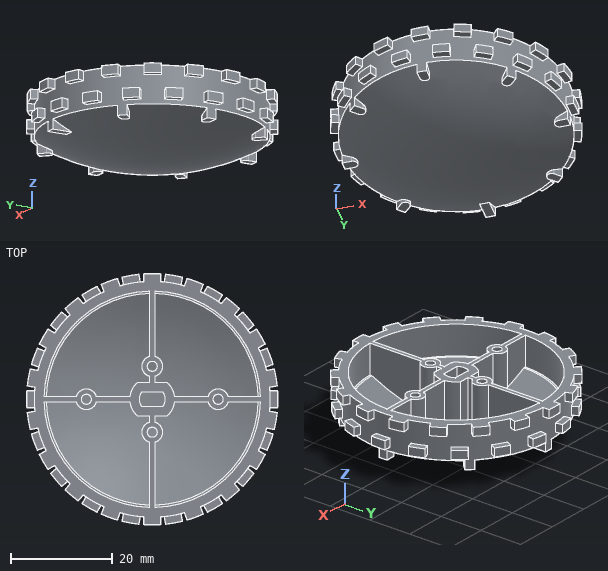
import cadquery as cq
import math

outer_radius = 24.8
rim_radius = 23.25
cavity_radius = 21.3
rim_height = 8.0
total_height = 14.0
dome_thickness = 2.0
floor_radius = 20.9

embed = 0.25

lug_count = 18
lug_width = 3.4
lug_height = 2.0
lower_row_depth = 5.0

foot_count = 8
foot_width = 2.0
foot_height = 2.1
foot_round_center = 21.3
long_foot_start = 17.85
long_foot_angle = 90

rib_thickness = 1.0
boss_diameter = 4.05
boss_hole_diameter = 2.0
boss_reach_x = 13.0
boss_reach_y = 6.5
hub_diameter = 8.85
hub_flats = 6.7
axle_diameter = 5.05
axle_flats = 2.9

dome_drop = total_height - rim_height
dome_radius = (rim_radius**2 + dome_drop**2) / (2 * dome_drop)
dome_center_z = dome_radius - total_height
inner_dome_radius = dome_radius - dome_thickness


def disc(diameter, height=total_height):
    """Solid cylinder on the wheel axis, hanging down from the open face."""
    return cq.Workplane("XY").circle(diameter / 2).extrude(-height)


def sphere(radius):
    """Full ball centered on the axis at the shared center of the dome's two faces."""
    return cq.Workplane("XY").sphere(radius).translate((0, 0, dome_center_z))


def flatted_disc(diameter, flats):
    """Cylinder with two flats facing +Y and -Y."""
    block = cq.Workplane("XY").box(diameter, flats, total_height, centered=(True, True, False))
    return disc(diameter).intersect(block.translate((0, 0, -total_height)))


def radial_block(inner, outer, width, top, height, angle):
    """Block between two distances from the axis, turned to the given angle."""
    block = cq.Workplane("XY").box(outer - inner, width, height, centered=(False, True, False))
    return block.translate((inner, 0, top - height)).rotate((0, 0, 0), (0, 0, 1), angle)


def ring_of_blocks(count, first_angle, inner, outer, width, top, height):
    """Equally spaced radial blocks, trimmed to a round outside."""
    blocks = cq.Workplane("XY")
    for index in range(count):
        angle = first_angle + index * 360 / count
        blocks = blocks.add(radial_block(inner, outer + embed, width, top, height, angle))
    return blocks.combine().intersect(disc(2 * outer))


def make_feet():
    """Feet with a half-round inner end, plus the longer stretch of the +Y foot."""
    top = embed - rim_height
    height = foot_height + embed
    feet = ring_of_blocks(foot_count, 0, foot_round_center, rim_radius, foot_width, top, height)
    inner_ends = (
        cq.Workplane("XY")
        .workplane(offset=top)
        .polarArray(foot_round_center, 0, 360, foot_count)
        .circle(foot_width / 2)
        .extrude(-height)
    )
    stretch = radial_block(long_foot_start, foot_round_center, foot_width, top, height, long_foot_angle)
    return feet.union(inner_ends).union(stretch)


def make_cavity():
    """Straight-walled bore above a narrow ledge, with the hollow of the dome below it."""
    floor_z = dome_center_z - math.sqrt(inner_dome_radius**2 - floor_radius**2)
    bore = disc(2 * cavity_radius, height=-floor_z)
    hollow = disc(2 * floor_radius).intersect(sphere(inner_dome_radius))
    return bore.union(hollow)


def make_inner_frame():
    """Cross ribs with bosses and hub; the holes stop at the dome."""
    bosses = [(boss_reach_x, 0), (-boss_reach_x, 0), (0, boss_reach_y), (0, -boss_reach_y)]
    rib_span = 2 * cavity_radius
    frame = flatted_disc(hub_diameter, hub_flats)
    for size_x, size_y in [(rib_span, rib_thickness), (rib_thickness, rib_span)]:
        frame = frame.union(cq.Workplane("XY").rect(size_x, size_y).extrude(-total_height))
    boss_centers = cq.Workplane("XY").pushPoints(bosses)
    frame = frame.union(boss_centers.circle(boss_diameter / 2).extrude(-total_height))
    frame = frame.cut(boss_centers.circle(boss_hole_diameter / 2).extrude(-total_height))
    return frame.cut(flatted_disc(axle_diameter, axle_flats))


envelope = disc(2 * rim_radius, height=rim_height).union(
    disc(2 * rim_radius).intersect(sphere(dome_radius))
)

half_pitch = 180 / lug_count
lug_root = rim_radius - embed
upper_lugs = ring_of_blocks(lug_count, half_pitch, lug_root, outer_radius, lug_width, 0, lug_height)
lower_lugs = ring_of_blocks(lug_count, 0, lug_root, outer_radius, lug_width, -lower_row_depth, lug_height)

cavity = make_cavity()
inner_frame = make_inner_frame().intersect(cavity)
outside = envelope.union(make_feet()).union(upper_lugs).union(lower_lugs)
result = outside.cut(cavity).union(inner_frame)